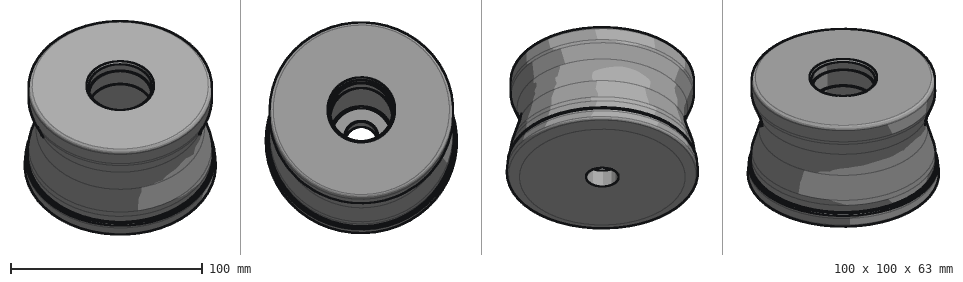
import cadquery as cq
import math

outer_radius = 50.0
total_height = 63.0

joint_z = 10.5
foot_radius = 43.3
underside_angle = 18.0
flange_round = 1.5
side_taper = 6.0
side_blend_radius = 12.0
collar_top_z = 8.9
shoulder_radius = 48.8
shoulder_top_z = 10.2
shoulder_bottom_z = 9.9
side_top_z = 7.3

hole_radius = 8.5
hole_chamfer = 0.4

rim_radius = 48.0
rim_corner_z = 53.1
waist_corner_radius = 42.0
waist_corner_z = 37.4
skirt_radius = 48.3
skirt_corner_z = 16.1
top_round = 2.0
rim_blend = 5.0
waist_blend = 21.0
skirt_blend = 10.0

bore_radius = 16.6
land_radius = 16.1
land_top_depth = 5.9
land_bottom_depth = 16.2
land_chamfer_width = 0.4
land_chamfer_height = 0.9
mouth_chamfer_width = 1.1
mouth_chamfer_depth = 1.2
floor_chamfer = 0.9


def polar(center, radius, degrees):
    """Point on a circle in the (radius, height) half plane."""
    angle = math.radians(degrees)
    return center[0] + radius * math.cos(angle), center[1] + radius * math.sin(angle)


def revolve_profile(profile):
    """Turn a closed (radius, height) outline about the Z axis."""
    return profile.close().revolve(360, (0, 0, 0), (0, 1, 0))


def round_circle(body, radius, height, fillet_radius):
    """Round the circular edge of the given radius at the given height."""
    tolerance = 0.01
    corner = cq.selectors.BoxSelector(
        (-radius - tolerance, -radius - tolerance, height - tolerance),
        (radius + tolerance, radius + tolerance, height + tolerance),
        boundingbox=True,
    )
    circles = body.edges(corner).vals()
    outermost = max(circles, key=lambda edge: edge.BoundingBox().xlen)
    return body.newObject([outermost]).fillet(fillet_radius)


def make_base_disc():
    arc_start_angle = underside_angle - 90
    arc_center_r = outer_radius - flange_round
    cone_end_r = polar((arc_center_r, 0), flange_round, arc_start_angle)[0]
    cone_end_z = (cone_end_r - foot_radius) * math.tan(math.radians(underside_angle))
    arc_center = (arc_center_r, cone_end_z + flange_round * math.cos(math.radians(underside_angle)))
    side_start = polar(arc_center, flange_round, side_taper)

    side_top_r = side_start[0] - (side_top_z - side_start[1]) * math.tan(math.radians(side_taper))
    side_top = (side_top_r, side_top_z)
    blend_center = polar(side_top, side_blend_radius, side_taper)
    blend_middle = polar(blend_center, side_blend_radius, 180 + side_taper / 2)
    collar_start = polar(blend_center, side_blend_radius, 180)
    collar_radius = collar_start[0]

    profile = (
        cq.Workplane("XZ")
        .moveTo(hole_radius, 0)
        .lineTo(foot_radius, 0)
        .lineTo(cone_end_r, cone_end_z)
        .threePointArc((outer_radius, arc_center[1]), side_start)
        .lineTo(*side_top)
        .threePointArc(blend_middle, collar_start)
        .lineTo(collar_radius, collar_top_z)
        .lineTo(shoulder_radius, shoulder_bottom_z)
        .lineTo(shoulder_radius, shoulder_top_z)
        .lineTo(skirt_radius, joint_z)
        .lineTo(hole_radius + hole_chamfer, joint_z)
        .lineTo(hole_radius, joint_z - hole_chamfer)
    )
    return revolve_profile(profile)


def make_roller():
    land_top_z = total_height - land_top_depth
    land_bottom_z = total_height - land_bottom_depth

    profile = (
        cq.Workplane("XZ")
        .moveTo(bore_radius - floor_chamfer, joint_z)
        .lineTo(skirt_radius, joint_z)
        .lineTo(skirt_radius, skirt_corner_z)
        .lineTo(waist_corner_radius, waist_corner_z)
        .lineTo(rim_radius, rim_corner_z)
        .lineTo(rim_radius, total_height)
        .lineTo(bore_radius + mouth_chamfer_width, total_height)
        .lineTo(bore_radius, total_height - mouth_chamfer_depth)
        .lineTo(bore_radius, land_top_z)
        .lineTo(land_radius, land_top_z)
        .lineTo(land_radius, land_bottom_z + land_chamfer_height)
        .lineTo(land_radius + land_chamfer_width, land_bottom_z)
        .lineTo(bore_radius, land_bottom_z)
        .lineTo(bore_radius, joint_z + floor_chamfer)
    )
    roller = revolve_profile(profile)
    roller = round_circle(roller, rim_radius, total_height, top_round)
    roller = round_circle(roller, rim_radius, rim_corner_z, rim_blend)
    roller = round_circle(roller, skirt_radius, skirt_corner_z, skirt_blend)
    return round_circle(roller, waist_corner_radius, waist_corner_z, waist_blend)


base_disc = make_base_disc()
roller = make_roller()

result = cq.Compound.makeCompound([roller.val(), base_disc.val()])